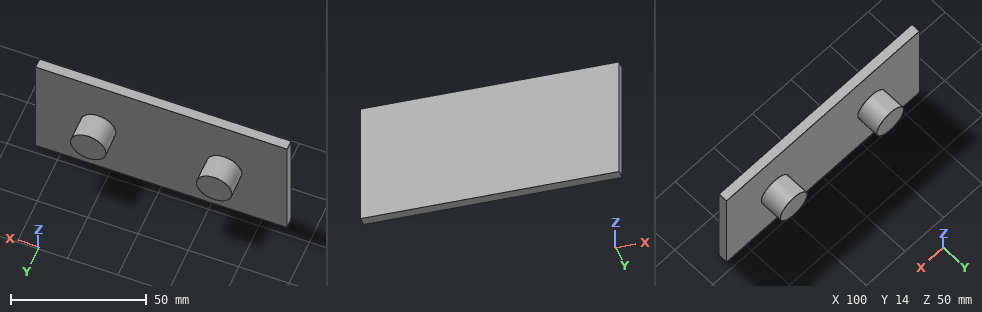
import cadquery as cq

plate_length = 100.0
plate_height = 50.0
plate_thickness = 4.0

boss_diameter = 14.0
boss_length = 10.0
boss_spacing = plate_length / 2


def make_plate():
    """Plate centred on X and Z, with its front face at Y = 0."""
    return cq.Workplane("XY").box(
        plate_length, plate_thickness, plate_height, centered=(True, False, True)
    )


def make_boss(x_position):
    """Solid cylinder standing on the back face at mid height."""
    base_center = (x_position, plate_thickness, 0)
    back_face = cq.Workplane("ZX", origin=base_center)
    return back_face.circle(boss_diameter / 2).extrude(boss_length)


result = make_plate()
for side in (-1, 1):
    result = result.union(make_boss(side * boss_spacing / 2))